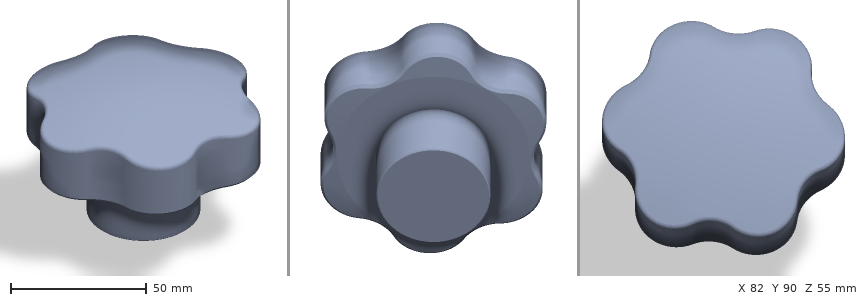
import cadquery as cq
import math

lobe_count = 6
tip_radius = 45.0
lobe_radius = 15.1
total_height = 55.0
head_bottom = 25.9
dome_radius = 151.2
underside_flat_radius = 35.6
underside_slope = 0.12
rim_fillet = 1.5
rim_chamfer = 1.1
stem_diameter = 42.0
stem_edge_chamfer = 0.45
blank_radius = tip_radius + 1.8

half_pitch = math.pi / lobe_count
lobe_center = tip_radius - lobe_radius
half_chord = lobe_center * math.sin(half_pitch)
valley_center = lobe_center * math.cos(half_pitch) + math.sqrt((2 * lobe_radius) ** 2 - half_chord**2)
valley_floor = valley_center - lobe_radius


def polar(radius, angle):
    return (radius * math.cos(angle), radius * math.sin(angle))


def joint(lobe_angle, side):
    """Tangent point between a lobe and the valley on the given side of it."""
    lobe = polar(lobe_center, lobe_angle)
    valley = polar(valley_center, lobe_angle + side * half_pitch)
    return ((lobe[0] + valley[0]) / 2, (lobe[1] + valley[1]) / 2)


def make_lobed_prism():
    first_angle = math.pi / 2
    outline = cq.Workplane("XY").moveTo(*joint(first_angle, -1))
    for index in range(lobe_count):
        angle = first_angle + index * 2 * half_pitch
        next_angle = angle + 2 * half_pitch
        outline = outline.threePointArc(polar(tip_radius, angle), joint(angle, 1))
        outline = outline.threePointArc(polar(valley_floor, angle + half_pitch), joint(next_angle, -1))
    return outline.close().extrude(total_height)


def dome_height(radius):
    return total_height - dome_radius + math.sqrt(dome_radius**2 - radius**2)


def make_turned_blank():
    rim_height = head_bottom + underside_slope * (blank_radius - underside_flat_radius)
    dome_middle = blank_radius / 2
    return (
        cq.Workplane("XZ")
        .moveTo(0, head_bottom)
        .lineTo(underside_flat_radius, head_bottom)
        .lineTo(blank_radius, rim_height)
        .lineTo(blank_radius, dome_height(blank_radius))
        .threePointArc((dome_middle, dome_height(dome_middle)), (0, total_height))
        .close()
        .revolve(360, (0, 0, 0), (0, 1, 0))
    )


def make_head():
    head = make_lobed_prism().intersect(make_turned_blank())
    head = head.faces(">Z").edges().fillet(rim_fillet)
    cone_edges = head.faces("%CONE").edges()
    return cone_edges.filter(lambda edge: edge.geomType() != "CIRCLE").chamfer(rim_chamfer)


def make_stem():
    stem = cq.Workplane("XY").circle(stem_diameter / 2).extrude(head_bottom)
    return stem.faces("<Z").chamfer(stem_edge_chamfer)


result = make_head().union(make_stem())